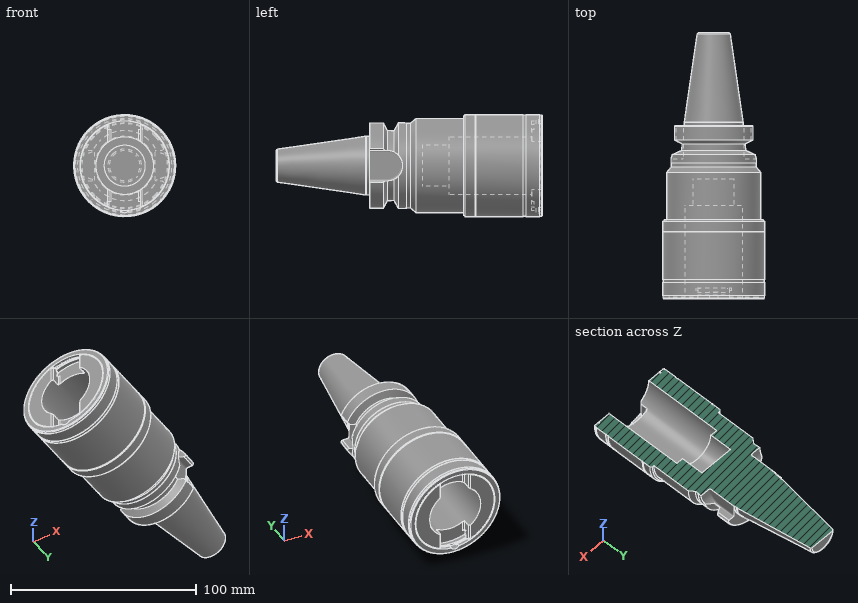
import cadquery as cq
import math

total_length = 144.0

sleeve_radius = 27.6
sleeve_length = 42.8
sleeve_chamfer = 1.0
mouth_chamfer = 0.5
mouth_relief_radius = 27.5
mouth_relief_length = 1.7
line_groove_start = 36.0
line_groove_width = 0.5
line_groove_depth = 0.3
band_groove_start = 8.8
band_groove_width = 1.7
band_groove_depth = 0.22

body_radius = 25.5
body_end = 68.4
neck_radius = 23.0
neck_start = 71.3
collar_radius = 23.2
collar_start = 73.5
collar_end = 77.9

grip_radius = 19.0
grip_start = 80.2
grip_end = 83.8
flange_start = 86.0
flange_end = 93.6
flange_edge = 0.5

shank_root_radius = 16.0
gauge_plane = 95.6
root_groove_width = 0.5
root_groove_depth = 0.22
taper_ratio = 7 / 24
tip_chamfer = 0.7
tip_radius = shank_root_radius - (total_length - gauge_plane) * taper_ratio / 2

keyway_half_width = 8.2
keyway_floor = 16.3
keyway_floor_fillet = 0.9
keyway_chamfer = 1.0

bore_radius = 15.5
bore_depth = 50.4
inner_bore_radius = 11.1
inner_bore_depth = 64.8

disc_radius = 23.9
disc_gap = 0.3
disc_gap_depth = 0.9
ring_inner_radius = disc_radius + disc_gap
drive_half_width = 8.5
drive_disc_thickness = 4.6
drive_depth = 5.9
drive_chamfer = 0.9
ledge_width = 1.0
ledge_height = 0.3
ledge_reach = 19.5
undercut_width = 1.0
ring_groove_radius = 24.9
ring_groove_start = 2.0
ring_groove_width = 1.5
notch_radius = 2.6
notch_bottom = 25.5
notch_depth = 3.6

cut_clearance = 1.5


def cylinder(radius, start, length):
    """Solid cylinder on the Y axis, running from start towards +Y."""
    base = cq.Workplane("XZ", origin=(0, start, 0))
    return base.circle(radius).extrude(-length)


def tube(outer, inner, start, length):
    return cylinder(outer, start, length).cut(cylinder(inner, start, length))


def box_between(x_range, y_range, z_range):
    sizes = [high - low for low, high in (x_range, y_range, z_range)]
    corner = (x_range[0], y_range[0], z_range[0])
    return cq.Workplane("XY").box(*sizes, centered=False).translate(corner)


def turned_body():
    outline = [
        (0, 0),
        (mouth_relief_radius - mouth_chamfer, 0),
        (mouth_relief_radius, mouth_chamfer),
        (mouth_relief_radius, mouth_relief_length),
        (sleeve_radius, mouth_relief_length),
        (sleeve_radius, sleeve_length - sleeve_chamfer),
        (sleeve_radius - sleeve_chamfer, sleeve_length),
        (body_radius, sleeve_length),
        (body_radius, body_end),
        (neck_radius, neck_start),
        (neck_radius, collar_start),
        (collar_radius, collar_start),
        (collar_radius, collar_end),
        (grip_radius, grip_start),
        (grip_radius, grip_end),
        (collar_radius, flange_start),
        (collar_radius, flange_end - flange_edge),
        (collar_radius - flange_edge, flange_end),
        (shank_root_radius, flange_end),
        (shank_root_radius, gauge_plane),
        (tip_radius + tip_chamfer * taper_ratio / 2, total_length - tip_chamfer),
        (tip_radius - tip_chamfer, total_length),
        (0, total_length),
    ]
    profile = cq.Workplane("XY").polyline(outline).close()
    return profile.revolve(360, (0, 0, 0), (0, 1, 0))


def outer_groove(radius, depth, start, width):
    return tube(radius + cut_clearance, radius - depth, start, width)


def keyway():
    """Round-ended keyway on the +X side, open towards the shank."""
    depth = collar_radius - keyway_floor + cut_clearance
    floor_plane = cq.Workplane("YZ", origin=(keyway_floor, 0, 0))
    open_end = flange_end + cut_clearance
    channel = (
        floor_plane.moveTo(open_end, -keyway_half_width)
        .lineTo(grip_end, -keyway_half_width)
        .threePointArc((grip_end - keyway_half_width, 0), (grip_end, keyway_half_width))
        .lineTo(open_end, keyway_half_width)
        .close()
        .extrude(depth)
        .faces("<X").edges("not >Y").fillet(keyway_floor_fillet)
    )
    corner_x = math.sqrt(collar_radius**2 - (keyway_half_width + keyway_chamfer) ** 2)
    bevel_x = corner_x - keyway_chamfer
    outer_x = collar_radius + cut_clearance
    outer_half_width = keyway_half_width + outer_x - bevel_x
    bevels = (
        cq.Workplane("XZ", origin=(0, grip_end, 0))
        .polyline([
            (bevel_x, -keyway_half_width),
            (outer_x, -outer_half_width),
            (outer_x, outer_half_width),
            (bevel_x, keyway_half_width),
        ])
        .close()
        .extrude(-(open_end - grip_end))
    )
    return channel.union(bevels)


def drive_slot():
    """Slot across the mouth with bevelled lips, floor ledges, undercut ends and a ring groove."""
    lip_half_width = drive_half_width + drive_chamfer
    section = [
        (-lip_half_width, 0),
        (lip_half_width, 0),
        (drive_half_width, drive_chamfer),
        (drive_half_width, drive_depth),
        (-drive_half_width, drive_depth),
        (-drive_half_width, drive_chamfer),
    ]
    slot = cq.Workplane("XY").polyline(section).close().extrude(sleeve_radius, both=True)

    undercut_half_width = drive_half_width + undercut_width
    for z_range in ((ledge_reach, sleeve_radius), (-sleeve_radius, -ledge_reach)):
        undercut = box_between(
            (-undercut_half_width, undercut_half_width),
            (drive_disc_thickness, drive_depth),
            z_range,
        )
        slot = slot.union(undercut)

    ledge_inner = drive_half_width - ledge_width
    for x_range in ((ledge_inner, drive_half_width), (-drive_half_width, -ledge_inner)):
        ledge = box_between(
            x_range,
            (drive_depth - ledge_height, drive_depth),
            (-ledge_reach, ledge_reach),
        )
        slot = slot.cut(ledge)
    slot = slot.intersect(cylinder(ring_inner_radius, 0, drive_depth))

    groove_end = ring_groove_start + ring_groove_width
    groove = box_between(
        (-drive_half_width, drive_half_width),
        (ring_groove_start, groove_end),
        (-sleeve_radius, sleeve_radius),
    ).intersect(cylinder(ring_groove_radius, ring_groove_start, ring_groove_width))
    return slot.union(groove)


def mouth_notch():
    """Round relief at the lowest point of the mouth ring."""
    return cylinder(notch_radius, 0, notch_depth).translate((0, 0, notch_radius - notch_bottom))


result = turned_body()

result = result.cut(outer_groove(sleeve_radius, line_groove_depth, line_groove_start, line_groove_width))
result = result.cut(outer_groove(sleeve_radius, band_groove_depth, band_groove_start, band_groove_width))
root_groove_start = gauge_plane - root_groove_width
result = result.cut(
    outer_groove(shank_root_radius, root_groove_depth, root_groove_start, root_groove_width)
)

for angle in (0, 180):
    result = result.cut(keyway().rotate((0, 0, 0), (0, 1, 0), angle))

result = result.cut(cylinder(bore_radius, 0, bore_depth))
result = result.cut(cylinder(inner_bore_radius, 0, inner_bore_depth))
result = result.cut(tube(ring_inner_radius, disc_radius, 0, disc_gap_depth))
result = result.cut(drive_slot())
result = result.cut(mouth_notch())